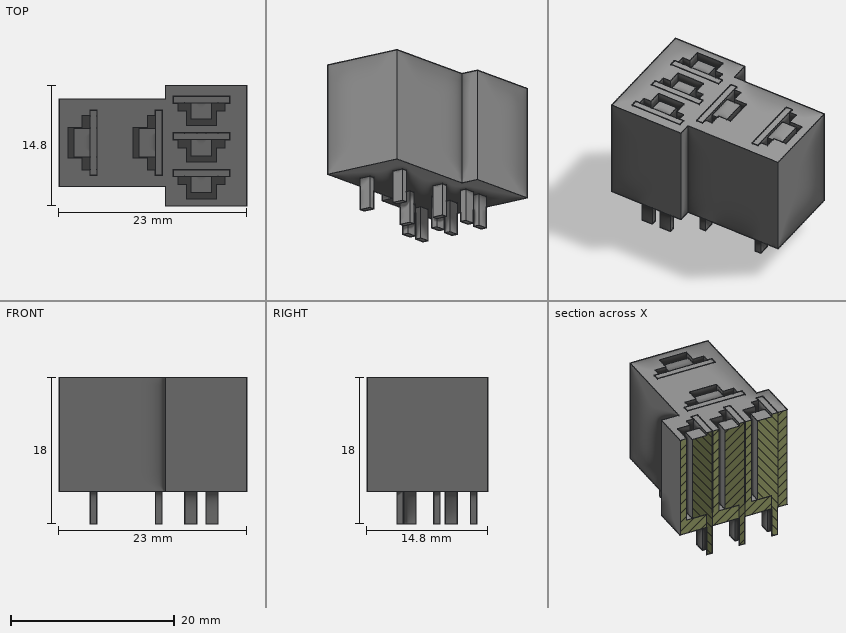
import cadquery as cq

total_length = 23.0
housing_height = 14.0
block_length = 10.0
block_width = 14.8
wing_width = 10.75
wing_setback = 1.65
floor_thickness = 2.0

left_x = -total_length / 2
right_x = total_length / 2
back_y = block_width / 2
block_x = right_x - block_length
wing_length = total_length - block_length
wing_y = back_y - wing_setback - wing_width / 2

plate_thickness = 0.8
tongue_length = 2.0
tongue_drop = 0.38
tail_width = 1.5
tail_length = 4.0

wing_plate_width = 7.9
wing_tongue_width = 3.5
wing_tail_spacing = 5.05
block_plate_width = 6.85
block_tongue_width = 2.5
block_tail_spacing = 2.6

slot_clearance = 0.05
shoulder_reach = 1.0
recess_reach = 2.75
recess_width = 3.7
wing_shoulder_width = 6.7
block_shoulder_width = 5.75

wing_terminal_inset = 4.2
wing_terminal_pitch = 8.0
wing_terminal_count = 2
block_terminal_side_inset = 5.57
block_terminal_x = right_x - block_terminal_side_inset
block_terminal_back_inset = 1.75
block_terminal_pitch = 4.5
block_terminal_count = 3


def box(width, front_y, rear_y, bottom_z, top_z):
    """Box centred on local X between the given Y and Z limits."""
    size_y = rear_y - front_y
    return (
        cq.Workplane("XY", origin=(0, (front_y + rear_y) / 2, bottom_z))
        .rect(width, size_y)
        .extrude(top_z - bottom_z)
    )


def make_tails(spacing, top_z):
    """Two tails, spaced along the plate, as separate solids."""
    return (
        cq.Workplane("XY", origin=(0, 0, -tail_length))
        .pushPoints([(-spacing / 2, 0), (spacing / 2, 0)])
        .rect(tail_width, plate_thickness)
        .extrude(top_z + tail_length)
    )


def make_terminal(plate_width, tongue_width, tail_spacing):
    """Plate and tongue standing on the cavity floor, with tails reaching below the housing."""
    half = plate_thickness / 2
    plate = box(plate_width, -half, half, floor_thickness, housing_height)
    tongue_top = housing_height - tongue_drop
    tongue = box(tongue_width, -half - tongue_length, -half, floor_thickness, tongue_top)
    return plate.union(tongue).union(make_tails(tail_spacing, floor_thickness))


def make_cavity(plate_width, shoulder_width, tail_spacing):
    """Space cut from the housing: plate slot, stepped recess and tail holes."""
    half = plate_thickness / 2
    slot_half = half + slot_clearance
    slot_width = plate_width + 2 * slot_clearance
    slot = box(slot_width, -slot_half, slot_half, floor_thickness, housing_height)
    shoulder = box(shoulder_width, -half - shoulder_reach, 0, floor_thickness, housing_height)
    recess = box(recess_width, -half - recess_reach, 0, floor_thickness, housing_height)
    return slot.union(shoulder).union(recess).union(make_tails(tail_spacing, floor_thickness))


def place_in_wing(shape, index):
    """Turn the shape so its front faces -X and move it to its place in the wing."""
    x = left_x + wing_terminal_inset + index * wing_terminal_pitch
    return shape.rotate((0, 0, 0), (0, 0, 1), -90).translate((x, wing_y, 0))


def place_in_block(shape, index):
    """Move the shape, front facing -Y, to its place in the block's row."""
    y = back_y - block_terminal_back_inset - index * block_terminal_pitch
    return shape.translate((block_terminal_x, y, 0))


wing_terminal = make_terminal(wing_plate_width, wing_tongue_width, wing_tail_spacing)
block_terminal = make_terminal(block_plate_width, block_tongue_width, block_tail_spacing)
wing_terminals = [place_in_wing(wing_terminal, i) for i in range(wing_terminal_count)]
block_terminals = [place_in_block(block_terminal, i) for i in range(block_terminal_count)]

block = (
    cq.Workplane("XY", origin=(block_x + block_length / 2, 0, 0))
    .rect(block_length, block_width)
    .extrude(housing_height)
)
wing = (
    cq.Workplane("XY", origin=(left_x + wing_length / 2, wing_y, 0))
    .rect(wing_length, wing_width)
    .extrude(housing_height)
)
housing = block.union(wing)

wing_cavity = make_cavity(wing_plate_width, wing_shoulder_width, wing_tail_spacing)
block_cavity = make_cavity(block_plate_width, block_shoulder_width, block_tail_spacing)
for i in range(wing_terminal_count):
    housing = housing.cut(place_in_wing(wing_cavity, i))
for i in range(block_terminal_count):
    housing = housing.cut(place_in_block(block_cavity, i))

terminals = wing_terminals + block_terminals
result = cq.Compound.makeCompound([housing.val(), *[terminal.val() for terminal in terminals]])